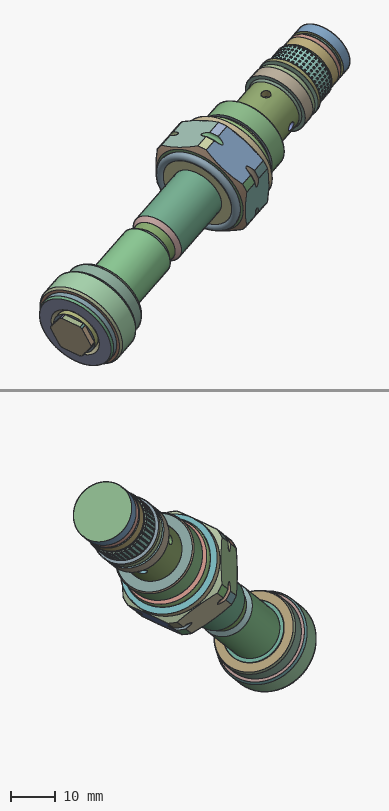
import cadquery as cq
import math

length = 104.3

stem_radius = 6.5
tip_radius = 5.5
neck_radius = 5.5
neck_bottom = 32.2
neck_top = 34.5
neck_taper = 1.1

tip_hex_flats = 9.7
tip_hex_height = 1.4
tip_corner_radius = 5.4

knob_bottom = 1.8
knob_end_radius = 9.9
knob_band_radius = 11.1
knob_band_bottom = 3.7
knob_band_top = 10.3
knob_top = 14.4
knob_edge_chamfer = 0.6
knob_face_chamfer = 0.3
knob_band_chamfer = 0.4
knob_lip_radius = 7.4
knob_lip_height = 0.3
knob_lip_top = knob_top + knob_lip_height
countersink_radius = stem_radius

nut_bottom = 53.3
nut_top = 63.3
nut_flats = 24.0
nut_corner_radius = 13.2
nut_bottom_chamfer = 0.8
nut_bottom_face_radius = 11.6
nut_top_chamfer = 0.6
nut_top_face_radius = 11.8
nut_groove_radius = 0.7
nut_middle = (nut_bottom + nut_top) / 2

face_seal_radius = 11.1
face_seal_tube = 0.99
face_seal_drop = 0.6
face_seal_y = nut_bottom - face_seal_drop
face_disc_radius = face_seal_radius - face_seal_tube
face_disc_drop = 1.0
face_disc_y = nut_bottom - face_disc_drop

shoulder_radius = 11.8
shoulder_top = 65.0
collar_seal_edge_radius = 10.1
collar_seal_bulge = 0.3
collar_seal_top = 67.1
collar_groove_radius = 8.5
collar_groove_taper = 0.4
collar_radius = 9.6
collar_bottom = 68.3
collar_top = 73.6
collar_chamfer = 0.3

shank_radius = 6.8
cross_hole_y = 80.5
cross_hole_diameter = 2.2
cross_hole_depth = 2.1
cross_hole_count = 4

land_bottom = 84.4
land_bottom_taper = 0.6
land_taper_radius = 7.1
land_radius = 8.0
land_top = 87.5
flange_bottom = 89.7
flange_top = 90.6
seal_groove_radius = 6.5
land_seal_radius = 7.9
land_seal_tube = 0.78

sleeve_radius = 7.4
sleeve_bottom = 91.2
sleeve_top = 96.3
sleeve_neck_radius = 7.0
mesh_hole_size = 0.4
mesh_hole_depth = 0.4
mesh_rows = 5
mesh_row_span = 4.4
mesh_row_pitch = mesh_row_span / (mesh_rows - 1)
mesh_columns = 40

nose_radius = 7.1
nose_bottom = 96.9
nose_groove_bottom = 99.5
nose_groove_top = 101.6
nose_seal_tube = 0.78


def revolve_outline(points):
    """Turn an outline of (radius, y) points, closed along the axis, about Y."""
    on_axis = [(0, points[0][1]), *points, (0, points[-1][1])]
    return cq.Workplane("XY").polyline(on_axis).close().revolve(360, (0, 0, 0), (0, 1, 0))


def disc(radius, bottom, top):
    """Plain cylinder on the Y axis."""
    return revolve_outline([(radius, bottom), (radius, top)])


def ring(outer_radius, tube_radius, y):
    """Round ring whose outermost circle has the given radius."""
    tube_center = outer_radius - tube_radius
    circle = cq.Workplane("XY").center(-tube_center, y).circle(tube_radius)
    return circle.revolve(360, (tube_center, 0, 0), (tube_center, 1, 0))


def hex_prism(flats, bottom, top, turn):
    """Hexagonal prism along Y; a turn of 0 puts corners on the X axis, 30 puts them on Z."""
    across_corners = flats / math.cos(math.radians(30))
    prism = cq.Workplane("XZ", origin=(0, top, 0)).polygon(6, across_corners).extrude(top - bottom)
    return prism.rotate((0, 0, 0), (0, 1, 0), turn)


def make_stem():
    """Stem with a tapered neck and a slimmer end that enters the knob."""
    return revolve_outline([
        (tip_radius, tip_hex_height),
        (tip_radius, knob_lip_top),
        (stem_radius, knob_lip_top),
        (stem_radius, neck_bottom - neck_taper),
        (neck_radius, neck_bottom),
        (neck_radius, neck_top),
        (stem_radius, neck_top + neck_taper),
        (stem_radius, nut_bottom),
    ])


def make_tip():
    """Hexagonal wrench end with turned corners."""
    hexagon = hex_prism(tip_hex_flats, 0, tip_hex_height, 0)
    return hexagon.intersect(disc(tip_corner_radius, 0, tip_hex_height))


def make_nut():
    """Hexagon with turned, chamfered corners, a round groove across the corners and a seal below."""
    envelope = revolve_outline([
        (nut_bottom_face_radius, nut_bottom),
        (nut_corner_radius, nut_bottom + nut_bottom_chamfer),
        (nut_corner_radius, nut_top - nut_top_chamfer),
        (nut_top_face_radius, nut_top),
    ])
    groove = ring(nut_corner_radius + nut_groove_radius, nut_groove_radius, nut_middle)
    face_disc = disc(face_disc_radius, face_disc_y, nut_bottom)
    face_seal = ring(face_seal_radius, face_seal_tube, face_seal_y)
    hexagon = hex_prism(nut_flats, nut_bottom, nut_top, 30)
    return hexagon.intersect(envelope).cut(groove).union(face_disc).union(face_seal)


def make_collar_seal():
    """Seal with a bulging side, between the shoulder and the collar groove."""
    bulge_point = (collar_seal_edge_radius + collar_seal_bulge, (shoulder_top + collar_seal_top) / 2)
    return (
        cq.Workplane("XY")
        .moveTo(0, shoulder_top)
        .lineTo(collar_seal_edge_radius, shoulder_top)
        .threePointArc(bulge_point, (collar_seal_edge_radius, collar_seal_top))
        .lineTo(0, collar_seal_top)
        .close()
        .revolve(360, (0, 0, 0), (0, 1, 0))
    )


def make_barrel():
    """Stepped upper part, from the collar groove to the free end."""
    return revolve_outline([
        (collar_groove_radius, collar_seal_top),
        (collar_groove_radius, collar_bottom - collar_groove_taper),
        (collar_groove_radius + collar_groove_taper, collar_bottom),
        (collar_radius, collar_bottom),
        (collar_radius, collar_top - collar_chamfer),
        (collar_radius - collar_chamfer, collar_top),
        (shank_radius, collar_top),
        (shank_radius, land_bottom - land_bottom_taper),
        (land_taper_radius, land_bottom),
        (land_radius, land_bottom),
        (land_radius, land_top),
        (seal_groove_radius, land_top),
        (seal_groove_radius, flange_bottom),
        (land_radius, flange_bottom),
        (land_radius, flange_top),
        (sleeve_neck_radius, flange_top),
        (sleeve_neck_radius, sleeve_bottom),
        (sleeve_radius, sleeve_bottom),
        (sleeve_radius, sleeve_top),
        (sleeve_neck_radius, sleeve_top),
        (sleeve_neck_radius, nose_bottom),
        (nose_radius, nose_bottom),
        (nose_radius, nose_groove_bottom),
        (seal_groove_radius, nose_groove_bottom),
        (seal_groove_radius, nose_groove_top),
        (nose_radius, nose_groove_top),
        (nose_radius, length),
    ])


def drills_around(drill, count):
    """Copies of a drill on the +Z side, spaced evenly about Y."""
    turns = [index * 360 / count for index in range(count)]
    return [drill.rotate(cq.Vector(0, 0, 0), cq.Vector(0, 1, 0), turn) for turn in turns]


def make_cross_holes():
    """Blind round holes around the shank."""
    floor = cq.Workplane("XY", origin=(0, cross_hole_y, shank_radius - cross_hole_depth))
    drill = floor.circle(cross_hole_diameter / 2).extrude(2 * cross_hole_depth).val()
    return cq.Workplane(cq.Compound.makeCompound(drills_around(drill, cross_hole_count)))


def make_mesh_holes():
    """Grid of square pockets spaced evenly around the sleeve and along it."""
    first_row_y = (sleeve_bottom + sleeve_top - mesh_row_span) / 2
    pocket_floor = sleeve_radius - mesh_hole_depth
    pockets = []
    for row in range(mesh_rows):
        y = first_row_y + row * mesh_row_pitch
        pocket = cq.Workplane("XY", origin=(0, y, pocket_floor)).rect(mesh_hole_size, mesh_hole_size)
        pocket = pocket.extrude(2 * mesh_hole_depth).val()
        pockets.extend(drills_around(pocket, mesh_columns))
    return cq.Workplane(cq.Compound.makeCompound(pockets))


def make_cartridge():
    """Stem, nut, seals and barrel joined as one body."""
    land_seal = ring(land_seal_radius, land_seal_tube, land_top + land_seal_tube)
    nose_seal = ring(nose_radius, nose_seal_tube, nose_groove_bottom + nose_seal_tube)
    barrel = make_barrel().cut(make_cross_holes()).cut(make_mesh_holes())
    return (
        make_stem()
        .union(make_tip())
        .union(make_nut())
        .union(disc(shoulder_radius, nut_top, shoulder_top))
        .union(make_collar_seal())
        .union(barrel)
        .union(land_seal)
        .union(nose_seal)
    )


def make_knob():
    """Stepped knob bored for the stem tip, with a countersunk lower mouth."""
    body = revolve_outline([
        (knob_end_radius - knob_face_chamfer, knob_bottom),
        (knob_end_radius, knob_bottom + knob_edge_chamfer),
        (knob_end_radius, knob_band_bottom),
        (knob_band_radius - knob_band_chamfer, knob_band_bottom),
        (knob_band_radius, knob_band_bottom + knob_edge_chamfer),
        (knob_band_radius, knob_band_top - knob_edge_chamfer),
        (knob_band_radius - knob_band_chamfer, knob_band_top),
        (knob_end_radius, knob_band_top),
        (knob_end_radius, knob_top - knob_edge_chamfer),
        (knob_end_radius - knob_face_chamfer, knob_top),
        (knob_lip_radius, knob_top),
        (knob_lip_radius, knob_lip_top),
    ])
    countersink_depth = countersink_radius - tip_radius
    bore = revolve_outline([
        (countersink_radius, knob_bottom),
        (tip_radius, knob_bottom + countersink_depth),
        (tip_radius, knob_lip_top),
    ])
    return body.cut(bore)


cartridge = make_cartridge()
knob = make_knob()

result = cq.Compound.makeCompound([*cartridge.solids().vals(), *knob.solids().vals()])